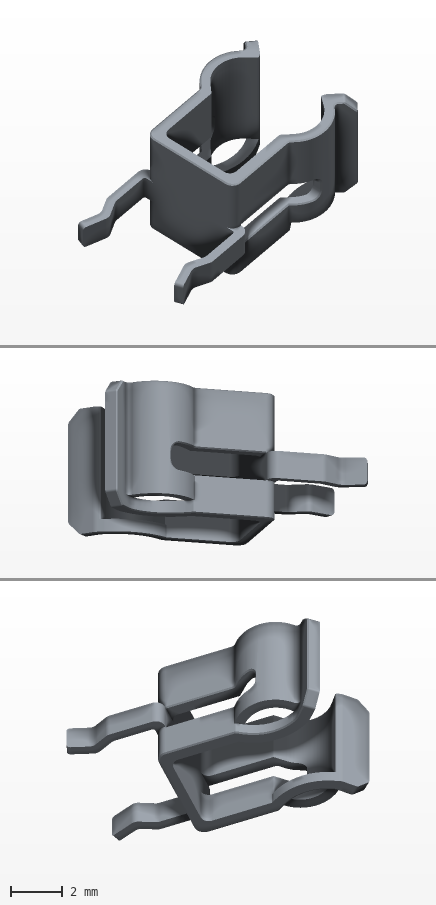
import cadquery as cq
import math

height = 5.0
overall_width = 5.84
bulge_half_width = overall_width / 2

arm_outer_x = 2.23
arm_inner_x = 1.72
plate_thickness = 0.44
outer_corner_radius = 0.41
inner_corner_radius = 0.33
edge_bevel_flat = 0.06
edge_bevel_drop = 0.04

bulge_thickness = 0.43
bulge_center_y = 4.63
bulge_outer_radius = 1.64
bulge_inner_radius = 1.28
outer_neck_angle = 50.0
outer_tip_angle = 48.0
inner_neck_angle = 45.0
inner_tip_angle = 52.0
neck_radius = 0.21

tip_angle = 43.0
tip_thickness = 0.51
tip_end_x = 2.55
tip_end_y = 6.99
tip_outer_radius = 0.18
tip_inner_radius = 0.43
lip_radius = 0.06
tip_corner_cut = 0.5
tip_corner_radius = 0.15
tip_edge_bevel = 0.05

bow_height = 0.5
bow_inner_x = 1.26
bow_center_y = 4.74
bow_inner_radius = 2.55
bow_outer_radius = 2.08
bow_neck_end = 212.5
bow_tip_end = 154.5
bow_tip_radius = 0.85

slot_bottom = 1.51
slot_height = 1.08
slot_end_y = 4.43
slot_corner_radius = 0.37
slot_bevel = 0.05
slot_top = slot_bottom + slot_height

tab_outer_x = 2.66
tab_thickness = 0.37
tab_shoulder_radius = 0.38
tab_root_radius = 0.11
tab_bend_radius = 0.38
tab_bend_y = -1.81
tab_waist_x = 2.32
tab_waist_y = -2.54
tab_end_x = 2.66
tab_end_y = -3.51
tab_end_radius = 0.15

overlap = 0.21
tolerance = 1.06e-07
reach = 6.38

tip_along = (math.cos(math.radians(tip_angle)), math.sin(math.radians(tip_angle)))
tip_across = (tip_along[1], -tip_along[0])


def shifted(point, direction, distance):
    return (point[0] + direction[0] * distance, point[1] + direction[1] * distance)


def crossing(point_a, direction_a, point_b, direction_b):
    """Point where two lines meet."""
    det = direction_a[0] * direction_b[1] - direction_a[1] * direction_b[0]
    dx = point_b[0] - point_a[0]
    dy = point_b[1] - point_a[1]
    return shifted(point_a, direction_a, (dx * direction_b[1] - dy * direction_b[0]) / det)


def unit(start, end):
    length = math.dist(start, end)
    return ((end[0] - start[0]) / length, (end[1] - start[1]) / length)


def rounded_prism(workplane, corners, depth):
    """Prism over a polygon of (point, corner radius) pairs."""
    bends = []
    for i, (corner, radius) in enumerate(corners):
        back = unit(corner, corners[i - 1][0])
        ahead = unit(corner, corners[(i + 1) % len(corners)][0])
        half_angle = math.acos(back[0] * ahead[0] + back[1] * ahead[1]) / 2
        setback = radius / math.tan(half_angle)
        inward = unit((0, 0), (back[0] + ahead[0], back[1] + ahead[1]))
        middle = shifted(corner, inward, radius / math.sin(half_angle) - radius)
        bends.append((shifted(corner, back, setback), middle, shifted(corner, ahead, setback)))
    here = bends[0][2]
    outline = workplane.moveTo(*here)
    for (start, middle, end), (_, radius) in zip(bends[1:] + bends[:1], corners[1:] + corners[:1]):
        if math.dist(start, here) > tolerance:
            outline = outline.lineTo(*start)
        if radius > 0:
            outline = outline.threePointArc(middle, end)
        here = end
    return outline.close().extrude(depth)


def level_prism(corners, bottom, top):
    return rounded_prism(cq.Workplane("XY", origin=(0, 0, bottom)), corners, top - bottom)


def on_arc(center, radius, angle):
    return shifted(center, (math.cos(math.radians(angle)), math.sin(math.radians(angle))), radius)


def arc_corner(center, radius, start_angle, end_angle):
    """Point where the tangents at both ends of an arc meet."""
    half_sweep = math.radians(end_angle - start_angle) / 2
    return on_arc(center, radius / math.cos(half_sweep), (start_angle + end_angle) / 2)


def tangent_crossing(center, radius, angle, point, direction):
    """Point where the tangent at one end of an arc meets a line."""
    tangent = on_arc((0, 0), 1, angle + 90)
    return crossing(on_arc(center, radius, angle), tangent, point, direction)


along_y = (0, 1)
tip_inner_end = (tip_end_x, tip_end_y)
tip_outer_end = shifted(tip_inner_end, tip_across, tip_thickness)
tip_inner_far = shifted(tip_inner_end, tip_along, reach)
tip_outer_far = shifted(tip_outer_end, tip_along, reach)

plate_outside = [((-overlap, 0), 0), ((arm_outer_x, 0), outer_corner_radius)]
tip_outside = [(tip_outer_far, 0), ((-overlap, tip_outer_far[1]), 0)]
plate_inside = [((-overlap, plate_thickness), 0), ((arm_inner_x, plate_thickness), inner_corner_radius)]
tip_inside = [(tip_inner_far, 0), ((-overlap, tip_inner_far[1]), 0)]

bow_center = (bow_inner_x + bow_inner_radius, bow_center_y)
bow_inner_arc = (bow_center, bow_inner_radius)
bow_tip_tangent = on_arc((0, 0), 1, bow_tip_end - 90)
bow_tip_root = tangent_crossing(*bow_inner_arc, bow_tip_end, tip_inner_end, tip_along)


def bulge_outside(bottom, top, neck_rounding):
    """Filled shape inside the outer surface of the bulged arm."""
    center = (bulge_half_width - bulge_outer_radius, bulge_center_y)
    arc = (center, bulge_outer_radius)
    neck = tangent_crossing(*arc, -outer_neck_angle, (arm_outer_x, 0), along_y)
    peak = arc_corner(*arc, -outer_neck_angle, outer_tip_angle)
    root = tangent_crossing(*arc, outer_tip_angle, tip_outer_end, tip_along)
    bulge = [(neck, neck_rounding), (peak, bulge_outer_radius), (root, tip_outer_radius)]
    return level_prism(plate_outside + bulge + tip_outside, bottom, top)


def bulge_cavity(bottom, top):
    """Space enclosed by the inner surface of the bulged arm."""
    center = (bulge_half_width - bulge_thickness - bulge_inner_radius, bulge_center_y)
    arc = (center, bulge_inner_radius)
    neck = tangent_crossing(*arc, -inner_neck_angle, (arm_inner_x, 0), along_y)
    peak = arc_corner(*arc, -inner_neck_angle, inner_tip_angle)
    lip = tangent_crossing(*arc, inner_tip_angle, bow_tip_root, bow_tip_tangent)
    bulge = [(neck, 0), (peak, bulge_inner_radius), (lip, lip_radius), (bow_tip_root, tip_inner_radius)]
    return level_prism(plate_inside + bulge + tip_inside, bottom, top)


def bow_outside():
    """Filled shape inside the outer surface of the bowed arm."""
    arc = (bow_center, bow_outer_radius)
    neck = tangent_crossing(*arc, bow_neck_end, (arm_outer_x, 0), along_y)
    waist = arc_corner(*arc, bow_neck_end, bow_tip_end)
    root = tangent_crossing(*arc, bow_tip_end, tip_outer_end, tip_along)
    bow = [(neck, 0), (waist, bow_outer_radius), (root, bow_tip_radius)]
    return level_prism(plate_outside + bow + tip_outside, 0, bow_height)


def bow_cavity():
    """Space enclosed by the inner surface of the bowed arm."""
    neck = tangent_crossing(*bow_inner_arc, bow_neck_end, (arm_inner_x, 0), along_y)
    waist = arc_corner(*bow_inner_arc, bow_neck_end, bow_tip_end)
    bow = [(neck, 0), (waist, bow_inner_radius), (bow_tip_root, tip_inner_radius)]
    return level_prism(plate_inside + bow + tip_inside, 0, bow_height)


def bevel_outside(body, face):
    return body.faces(face).edges().chamfer(edge_bevel_drop, edge_bevel_flat)


def tip_envelope():
    """Long block that ends at the tip, with its top and bottom corners cut and rounded."""
    start = cq.Vector(tip_end_x, tip_end_y, 0) - cq.Vector(*tip_across, 0) * reach
    plane = cq.Plane(origin=start, xDir=(*tip_along, 0), normal=(*tip_across, 0))
    corners = [
        ((-2 * reach, 0), 0),
        ((-tip_corner_cut, 0), tip_corner_radius),
        ((0, tip_corner_cut), tip_corner_radius),
        ((0, height - tip_corner_cut), tip_corner_radius),
        ((-tip_corner_cut, height), tip_corner_radius),
        ((-2 * reach, height), 0),
    ]
    return rounded_prism(cq.Workplane(plane), corners, 2 * reach)


def slot(start_y):
    """Tool that opens the slot in the arm from start_y to its rounded end."""
    corners = [
        ((start_y, slot_bottom), 0),
        ((slot_end_y, slot_bottom), slot_corner_radius),
        ((slot_end_y, slot_top), slot_corner_radius),
        ((start_y, slot_top), 0),
    ]
    start_x = arm_inner_x - inner_corner_radius
    return rounded_prism(cq.Workplane("YZ", origin=(start_x, 0, 0)), corners, reach)


def tab():
    """Bent strip that leaves the plate sideways; its inner bends are offset from the outer ones."""
    outer = [
        (0, plate_thickness),
        (tab_outer_x, plate_thickness),
        (tab_outer_x, tab_bend_y),
        (tab_waist_x, tab_waist_y),
        (tab_end_x, tab_end_y),
    ]
    runs = [unit(a, b) for a, b in zip(outer, outer[1:])]
    inward = [(run[1], -run[0]) for run in runs]
    depths = [plate_thickness] + [tab_thickness] * (len(runs) - 1)
    faces = [shifted(point, side, depth) for point, side, depth in zip(outer, inward, depths)]
    inner = [crossing(faces[i], runs[i], faces[i + 1], runs[i + 1]) for i in range(len(runs) - 1)]
    inner = [(0, 0)] + inner + [shifted(outer[-1], inward[-1], tab_thickness)]
    outer_radii = [0, tab_shoulder_radius, tab_bend_radius, tab_bend_radius, 0]
    inner_radii = [0, tab_root_radius, tab_bend_radius, tab_bend_radius, 0]
    corners = list(zip(outer, outer_radii)) + list(zip(inner, inner_radii))[::-1]
    strip = level_prism(corners, slot_bottom, slot_top)
    end_face = strip.faces("<Y")
    return end_face.edges("not |Z").edges("<Z or >Z").fillet(tab_end_radius)


def bevel_slot_rim(body):
    rim = cq.selectors.BoxSelector(
        (arm_outer_x - slot_bevel, plate_thickness + slot_bevel, slot_bottom - slot_bevel),
        (bulge_half_width, bulge_center_y, slot_top + slot_bevel),
    )
    return body.edges(rim).chamfer(slot_bevel)


def bevel_tip_end(body):
    """Bevel the outer face of the tip along its end and both corner cuts."""
    cut_start = shifted(tip_outer_end, tip_along, tip_edge_bevel - tip_corner_cut)
    rim = cq.selectors.BoxSelector((*cut_start, 0), (bulge_half_width, tip_end_y, height))
    return body.edges(rim).chamfer(tip_edge_bevel)


outside = bevel_outside(bow_outside(), "<Z")
outside = outside.union(bulge_outside(bow_height, slot_top, 0))
outside = outside.union(bevel_outside(bulge_outside(slot_top, height, neck_radius), ">Z"))
outside = bevel_tip_end(outside.intersect(tip_envelope()))
outside = bevel_slot_rim(outside.cut(slot(plate_thickness)))
cavity = bow_cavity().union(bulge_cavity(bow_height, height))

half = outside.cut(cavity).cut(slot(-plate_thickness)).union(tab())
result = half.union(half.mirror("YZ"))